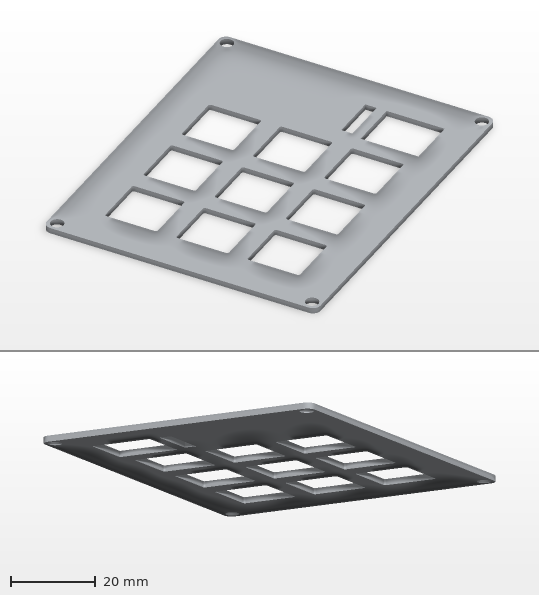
import cadquery as cq

plate_width = 73.24
plate_length = 89.43
plate_thickness = 1.5
corner_radius = 2.0

screw_hole_diameter = 3.4
screw_hole_inset = 2.5

key_size = 14.0
key_corner_radius = 0.5
key_pitch = 19.05
key_columns = 3
key_rows = 3
key_grid_x = 0.27
key_grid_y = -8.05

window_width = 15.5
window_height = 13.0
window_left = key_grid_x + key_pitch - key_size / 2
window_top = 35.4

slot_width = 3.0
slot_height = 12.0
slot_window_gap = 2.7
slot_left = window_left - slot_window_gap - slot_width


def make_plate():
    plate = cq.Workplane("XY").rect(plate_width, plate_length).extrude(plate_thickness)
    return plate.edges("|Z").fillet(corner_radius)


def cut_screw_holes(plate):
    spacing_x = plate_width - 2 * screw_hole_inset
    spacing_y = plate_length - 2 * screw_hole_inset
    holes = (
        cq.Workplane("XY")
        .rect(spacing_x, spacing_y, forConstruction=True)
        .vertices()
        .circle(screw_hole_diameter / 2)
        .extrude(plate_thickness)
    )
    return plate.cut(holes)


def cut_key_openings(plate):
    openings = (
        cq.Workplane("XY")
        .center(key_grid_x, key_grid_y)
        .rarray(key_pitch, key_pitch, key_columns, key_rows)
        .rect(key_size, key_size)
        .extrude(plate_thickness)
        .edges("|Z")
        .fillet(key_corner_radius)
    )
    return plate.cut(openings)


def cut_rectangle(plate, left, top, width, height):
    opening = (
        cq.Workplane("XY")
        .center(left + width / 2, top - height / 2)
        .rect(width, height)
        .extrude(plate_thickness)
    )
    return plate.cut(opening)


result = make_plate()
result = cut_screw_holes(result)
result = cut_key_openings(result)
result = cut_rectangle(result, window_left, window_top, window_width, window_height)
result = cut_rectangle(result, slot_left, window_top, slot_width, slot_height)